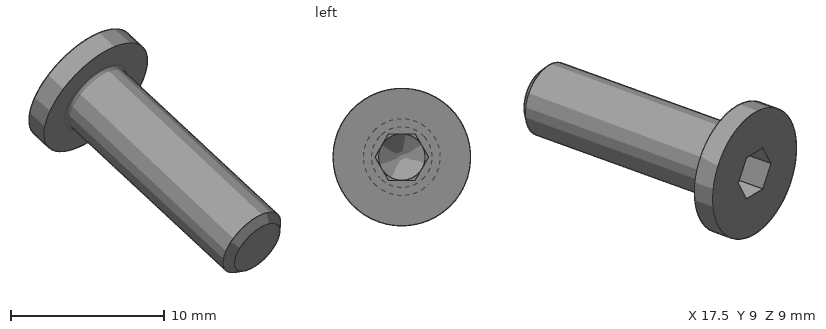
import cadquery as cq
import math

total_length = 17.5
head_diameter = 9.0
head_thickness = 1.5
shank_diameter = 5.0
tip_chamfer = 0.52
neck_fillet = 0.2

socket_across_flats = 3.03
socket_depth = 2.3
cone_half_angle = 60.0

shank_radius = shank_diameter / 2
socket_radius = socket_across_flats / 2
cone_height = socket_radius / math.tan(math.radians(cone_half_angle))


def make_body():
    """Head and shank, with a filleted neck and a chamfered tip."""
    head = cq.Workplane("YZ").circle(head_diameter / 2).extrude(head_thickness)
    body = head.faces(">X").workplane().circle(shank_radius).extrude(total_length - head_thickness)
    body = body.faces(">X").edges().chamfer(tip_chamfer)
    neck = cq.selectors.RadiusNthSelector(0)
    return body.faces("<X[1]").edges(neck).fillet(neck_fillet)


def make_socket():
    """Hexagonal prism with two corners along Y, ending in a cone inscribed in the hexagon."""
    across_corners = socket_across_flats / math.cos(math.radians(30))
    prism = cq.Workplane("YZ").polygon(6, across_corners).extrude(socket_depth)
    cone = cq.Solid.makeCone(
        socket_radius, 0, cone_height, pnt=cq.Vector(socket_depth, 0, 0), dir=cq.Vector(1, 0, 0)
    )
    return prism.union(cq.Workplane(obj=cone))


result = make_body().cut(make_socket())